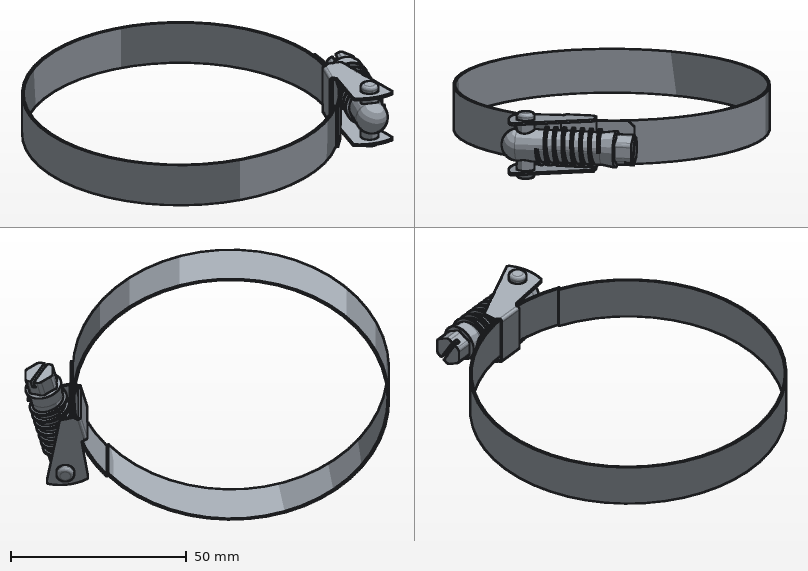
import cadquery as cq
import math

band_radius = 45.0
band_thickness = 0.5
band_width = 12.8
layer_gap = 0.1
inner_end_angle = 0
tongue_end_angle = -20
inner_step_angle = 24.7
outer_step_angle = 25.5
tongue_chamfer = 1.8

sheet = 0.6
bracket_width = 15.2
bend_radius = 0.9
bridge_bottom = 43.0
bridge_half_length = 3.9
cheek_left = -4.9
cheek_foot = 44.8
cheek_left_top = 48.8
cheek_foot_right = 4.6
cheek_nose_top = (17.1, 58.2)
cheek_nose_middle = (19.0, 51.9)
cheek_nose_bottom = (18.0, 46.1)
cheek_tip_radius = 0.8

saddle_half_length = 5.2

screw_y = 51.9
hex_flats = 8.0
hex_edge_radius = 1.3
hex_start = -17.3
collar_start = -12.6
collar_end = -8.2
collar_radius = 5.3
collar_face_radius = 3.9
collar_face_depth = 0.4
core_radius = 4.6
dome_centre = 16.4
slot_width = 1.0
slot_depth = 2.1
slot_angle = 30
thread_pitch = 2.6
thread_turns = 7
thread_start = -8.0
thread_crest_radius = 5.6
thread_crest_width = 0.5
thread_root_width = 0.9
thread_embed = 0.2

pin_x = 14.1
pin_diameter = 5.2
pin_length = 19.1
pin_edge_radius = 1.0

band_inner_radius = band_radius - band_thickness
tongue_inner_radius = band_radius + layer_gap
tongue_outer_radius = tongue_inner_radius + band_thickness
cheek_inner_z = bracket_width / 2 - sheet
bend_end = bridge_bottom + bend_radius
channel_length = 3 * cheek_nose_middle[0]


def polar(radius, angle):
    """Point at an angle measured from +Y towards +X."""
    turn = math.radians(angle)
    return (radius * math.sin(turn), radius * math.cos(turn))


def arc_to(outline, radius, start, end):
    """Continue an outline along an arc about the clamp axis."""
    return outline.threePointArc(polar(radius, (start + end) / 2), polar(radius, end))


def make_band():
    """One strip wound past a full turn, its end stepping out over its beginning."""
    ring_start = outer_step_angle - 360
    ring_end = inner_step_angle - 360
    outline = cq.Workplane("XY").moveTo(*polar(band_inner_radius, inner_end_angle))
    outline = arc_to(outline, band_inner_radius, inner_end_angle, ring_end)
    outline = outline.lineTo(*polar(tongue_inner_radius, inner_step_angle))
    outline = arc_to(outline, tongue_inner_radius, inner_step_angle, tongue_end_angle)
    outline = outline.lineTo(*polar(tongue_outer_radius, tongue_end_angle))
    outline = arc_to(outline, tongue_outer_radius, tongue_end_angle, outer_step_angle)
    outline = outline.lineTo(*polar(band_radius, outer_step_angle))
    outline = arc_to(outline, band_radius, ring_start, inner_end_angle)
    band = outline.close().extrude(band_width / 2, both=True)
    return band.cut(tongue_corner_cutters())


def tongue_corner_cutters():
    """Two triangular prisms that bevel the corners of the outer layer's free end."""
    half_width = band_width / 2
    radial = polar(1, tongue_end_angle)
    tip_plane = cq.Plane(
        origin=(*polar(tongue_inner_radius - layer_gap / 2, tongue_end_angle), 0),
        xDir=(radial[1], -radial[0], 0),
        normal=(*radial, 0),
    )
    upper = (
        cq.Workplane(tip_plane)
        .polyline([
            (0, half_width),
            (0, half_width - tongue_chamfer),
            (tongue_chamfer, half_width),
        ])
        .close()
        .extrude(2 * band_thickness)
    )
    return upper.union(upper.mirror("XY"))


def make_pin():
    """Rivet with rounded ends, passing through both cheeks and the screw."""
    return (
        cq.Workplane("XY")
        .center(pin_x, screw_y)
        .circle(pin_diameter / 2)
        .extrude(pin_length / 2, both=True)
        .faces("|Z")
        .edges()
        .fillet(pin_edge_radius)
    )


def pin_hole():
    """Cutter for the pin's seat, longer than the bracket is wide."""
    return (
        cq.Workplane("XY")
        .center(pin_x, screw_y)
        .circle(pin_diameter / 2)
        .extrude(pin_length, both=True)
    )


def make_bracket():
    """U-shaped sheet: a bridge inside the band and two cheeks carrying the pivot pin."""
    depth = cheek_nose_top[1] - bridge_bottom
    channel = (
        cq.Workplane("XY")
        .box(channel_length, depth, bracket_width, centered=(True, False, True))
        .faces("<Y")
        .edges("|X")
        .fillet(bend_radius)
    )
    cavity = (
        cq.Workplane("XY", origin=(0, sheet, 0))
        .box(channel_length, depth, 2 * cheek_inner_z, centered=(True, False, True))
        .faces("<Y")
        .edges("|X")
        .fillet(bend_radius - sheet)
    )
    channel = channel.cut(cavity).translate((0, bridge_bottom, 0))

    outline = (
        cq.Workplane("XY")
        .moveTo(-bridge_half_length, bridge_bottom)
        .lineTo(-bridge_half_length, bend_end)
        .lineTo(cheek_left, cheek_foot)
        .lineTo(cheek_left, cheek_left_top)
        .lineTo(*cheek_nose_top)
        .threePointArc(cheek_nose_middle, cheek_nose_bottom)
        .lineTo(cheek_foot_right, cheek_foot)
        .lineTo(bridge_half_length, bend_end)
        .lineTo(bridge_half_length, bridge_bottom)
        .close()
        .extrude(bracket_width, both=True)
    )
    for corner in (cheek_nose_top, cheek_nose_bottom):
        nearest = cq.selectors.NearestToPointSelector((*corner, 0))
        outline = outline.edges(nearest).fillet(cheek_tip_radius)
    return channel.intersect(outline).cut(pin_hole())


def make_saddle():
    """Curved plate between the cheeks, resting on the band under the screw."""
    outer_radius = tongue_outer_radius + sheet
    end_angle = math.degrees(math.asin(saddle_half_length / outer_radius))
    outline = cq.Workplane("XY").moveTo(*polar(tongue_outer_radius, -end_angle))
    outline = arc_to(outline, tongue_outer_radius, -end_angle, end_angle)
    outline = outline.lineTo(*polar(outer_radius, end_angle))
    outline = arc_to(outline, outer_radius, end_angle, -end_angle)
    return outline.close().extrude(cheek_inner_z, both=True)


def make_thread():
    """Single right-hand ridge wound around the X axis."""
    root_radius = core_radius - thread_embed
    helix = cq.Wire.makeHelix(thread_pitch, thread_pitch * thread_turns, root_radius)
    ridge = (
        cq.Workplane("XZ")
        .polyline([
            (root_radius, -thread_root_width / 2),
            (thread_crest_radius, -thread_crest_width / 2),
            (thread_crest_radius, thread_crest_width / 2),
            (root_radius, thread_root_width / 2),
        ])
        .close()
        .sweep(cq.Workplane(obj=helix), isFrenet=True)
    )
    return (
        ridge.rotate((0, 0, 0), (0, 1, 0), 90)
        .rotate((0, 0, 0), (1, 0, 0), 90)
        .translate((thread_start, 0, 0))
    )


def make_screw():
    """Slotted hex head, double-tapered collar, threaded shank and hemispherical end."""
    head = (
        cq.Workplane("YZ", origin=(hex_start, 0, 0))
        .polygon(6, hex_flats, circumscribed=True)
        .extrude(collar_end - hex_start)
        .edges("|X")
        .fillet(hex_edge_radius)
    )
    slot = (
        cq.Workplane("XY", origin=(hex_start, 0, 0))
        .box(2 * slot_depth, slot_width, 2 * hex_flats)
        .rotate((0, 0, 0), (1, 0, 0), slot_angle)
    )
    shank = (
        cq.Workplane("XY")
        .moveTo(collar_start, 0)
        .lineTo(collar_start, collar_face_radius)
        .lineTo(collar_start + collar_face_depth, collar_radius)
        .lineTo(collar_end, core_radius)
        .lineTo(dome_centre, core_radius)
        .radiusArc((dome_centre + core_radius, 0), core_radius)
        .close()
        .revolve(360, (0, 0, 0), (1, 0, 0))
    )
    screw = shank.union(make_thread()).union(head.cut(slot))
    return screw.translate((0, screw_y, 0)).cut(pin_hole())


band = make_band()
bracket = make_bracket()
saddle = make_saddle()
screw = make_screw()
pin = make_pin()

bodies = (band, bracket, saddle, screw, pin)
result = cq.Compound.makeCompound([body.solids().val() for body in bodies])